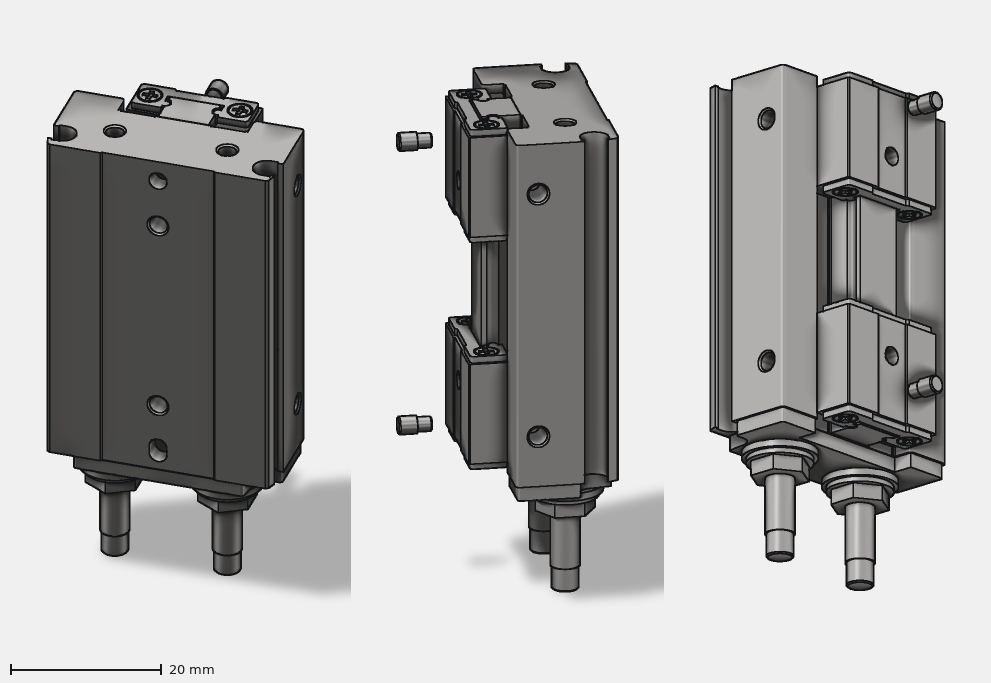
import cadquery as cq
import math


housing_width = 32.0
housing_depth = 14.0
housing_height = 48.0
half_width = housing_width / 2
edge_round = 0.6
slot_half_width = 9.0
slot_floor = 11.1
leg_channel_depth = 0.2
relief_depth = 0.2
relief_half_width = 7.8

groove_diameter = 3.8
groove_radius = groove_diameter / 2
groove_inset = 1.75
groove_y = 3.15
mouth_width = 3.2
lip_thickness = 0.8
lip_tip_inset = 0.2
lip_base_inset = 0.6
lip_base_y = 0.25
front_edge_inset = 1.0

thread_diameter = 2.5
thread_mouth_diameter = 3.0
thread_chamfer = (thread_mouth_diameter - thread_diameter) / 2
thread_depth = 5.2
drill_point_angle = 118.0
side_hole_y = 11.0
side_hole_offset = 7.0
through_hole_offset = 10.0
dowel_offset = 3.0
dowel_diameter = 2.5
dowel_slot_length = 3.45
dowel_depth = 2.6

plate_thickness = 2.0
plate_inset = 0.3
plate_round = 0.45
plate_groove_clearance = 0.1
plate_neck_inset = 4.2

rail_half_width = 3.5
rail_top = 16.4
rail_end_gap = 0.05
ball_y = 14.8
ball_x = 3.7
track_radius = 0.85
ball_radius = 0.65

carriage_half_width = 8.6
carriage_bottom = 11.3
short_leg_bottom = 13.2
carriage_top = 19.0
carriage_edge = 0.2
block_height = 14.0
cap_height = 0.9
carriage_height = block_height + 2 * cap_height
carriage_end_gap = 0.2
opening_half_width = 3.9
opening_roof = 16.65
block_groove_half_width = 2.8
block_groove_depth = 0.2
cap_half_width = 8.15
cap_bottom = 13.65
cap_top = 18.7
cap_round = 0.5
cap_groove_half_width = 3.6
cap_groove_depth = 0.3

screw_x = 6.3
screw_y = 16.2
screw_outer_diameter = 3.4
screw_head_diameter = 3.0
screw_ring_depth = 0.2
cross_length = 1.95
cross_width = 0.6
cross_depth = 0.4

rod_x = 7.85
rod_y = 5.9
collar_diameter, collar_height = 8.0, 0.4
flange_diameter, flange_height = 10.2, 1.0
washer_diameter, washer_height = 9.0, 0.7
hex_across_flats, hex_height = 7.0, 2.1
shank_diameter, shank_height = 4.0, 7.85
tip_diameter = 3.65
tip_chamfer = 0.2
overall_height = 65.3
tip_height = (overall_height - housing_height - plate_thickness - collar_height
              - flange_height - washer_height - hex_height - shank_height)

overall_depth = 27.0
pin_head_diameter, pin_head_length = 2.5, 2.5
pin_shank_diameter, pin_shank_length = 2.0, 2.0
pin_chamfer = 0.2
pin_end_offset = 4.1


def both_ends(offset):
    """Z positions at the same distance from the lower and the upper end of the housing."""
    return (offset, housing_height - offset)


def bar(half_x, y_low, y_high, z_low, z_high):
    """Block centred on X = 0."""
    return cq.Workplane("XY").box(
        2 * half_x, y_high - y_low, z_high - z_low, centered=(True, False, False)
    ).translate((0, y_low, z_low))


def threaded_hole():
    """Hole cutter that starts at the origin and goes down along -Z."""
    radius = thread_diameter / 2
    cone_height = radius / math.tan(math.radians(drill_point_angle / 2))
    return (
        cq.Workplane("XZ")
        .moveTo(0, 0)
        .lineTo(thread_mouth_diameter / 2, 0)
        .lineTo(radius, -thread_chamfer)
        .lineTo(radius, -thread_depth)
        .lineTo(0, -thread_depth - cone_height)
        .close()
        .revolve(360, (0, 0, 0), (0, 1, 0))
    )


def mirrored_pair(shape):
    """The shape together with its mirror image across the X = 0 plane."""
    return shape.union(shape.mirror("YZ"))


def sensor_groove():
    """Groove on the -X side, with a narrow mouth between two lips; the lower lip slopes inward."""
    axis_x = -half_width + groove_inset
    mouth_low = groove_y - mouth_width / 2
    bore = cq.Workplane("XY").center(axis_x, groove_y).circle(groove_radius).extrude(housing_height)
    inner_x = -half_width + lip_thickness
    channel = (
        cq.Workplane("XY")
        .rect(axis_x - inner_x, groove_diameter)
        .extrude(housing_height)
        .translate(((axis_x + inner_x) / 2, groove_y, 0))
    )
    mouth = (
        cq.Workplane("XY")
        .rect(groove_inset, mouth_width)
        .extrude(housing_height)
        .translate((-half_width + groove_inset / 2, groove_y, 0))
    )
    lip_slope = (
        cq.Workplane("XY")
        .moveTo(-half_width, mouth_low)
        .lineTo(-half_width + lip_tip_inset, mouth_low)
        .lineTo(-half_width + lip_base_inset, lip_base_y)
        .lineTo(-half_width + front_edge_inset, 0)
        .lineTo(-half_width, 0)
        .close()
        .extrude(housing_height)
    )
    return bore.union(channel).union(mouth).union(lip_slope)


def housing_profile_body():
    """Extruded housing with the carriage slot, leg channels, front relief and sensor grooves."""
    body = bar(half_width, 0, housing_depth, 0, housing_height)
    body = body.cut(bar(slot_half_width, slot_floor, housing_depth, 0, housing_height))
    body = body.edges("|Z and >Y").fillet(edge_round)
    channels = bar(carriage_half_width, slot_floor - leg_channel_depth, slot_floor, 0, housing_height)
    channels = channels.cut(bar(opening_half_width, 0, slot_floor, 0, housing_height))
    body = body.cut(channels)
    relief = (
        cq.Workplane("XY")
        .polyline([
            (-relief_half_width - relief_depth, 0), (-relief_half_width, relief_depth),
            (relief_half_width, relief_depth), (relief_half_width + relief_depth, 0),
        ])
        .close()
        .extrude(housing_height)
    )
    body = body.cut(relief)
    return body.cut(mirrored_pair(sensor_groove()))


def end_plate():
    """Plate below the housing, set in from its outline and cut away around the sensor grooves."""
    side = half_width - plate_inset
    back = housing_depth - plate_inset
    neck = half_width - plate_neck_inset
    groove_axis = half_width - groove_inset
    cut_radius = groove_radius + plate_groove_clearance
    shoulder = groove_y + cut_radius
    diagonal = cut_radius * math.sqrt(0.5)
    half = (
        cq.Workplane("XY")
        .moveTo(0, plate_inset)
        .lineTo(neck, plate_inset)
        .lineTo(groove_axis - cut_radius, groove_y)
        .threePointArc((groove_axis - diagonal, groove_y + diagonal), (groove_axis, shoulder))
        .lineTo(side, shoulder)
        .lineTo(side, back)
        .lineTo(0, back)
        .close()
        .extrude(-plate_thickness)
    )
    neck_edge = cq.selectors.NearestToPointSelector((neck, plate_inset, -plate_thickness / 2))
    half = half.edges(neck_edge).fillet(plate_round)
    half = half.edges("|Z and >X").fillet(plate_round)
    slot = bar(slot_half_width + plate_inset, slot_floor - plate_inset, housing_depth, -plate_thickness, 0)
    return mirrored_pair(half).cut(slot)


def guide_rail():
    """Rail on the slot floor with a ball track along each side."""
    rail = bar(rail_half_width, slot_floor, rail_top, rail_end_gap, housing_height - rail_end_gap)
    tracks = (
        cq.Workplane("XY")
        .pushPoints([(-ball_x, ball_y), (ball_x, ball_y)])
        .circle(track_radius)
        .extrude(housing_height)
    )
    return rail.cut(tracks)


def through_hole(z):
    """Hole along Y through the housing, the rail and the carriage."""
    return cq.Workplane("XZ").center(0, z).circle(thread_diameter / 2).extrude(-overall_depth)


def housing_holes():
    """Threaded side and top holes, through holes, and the round and slotted dowel holes."""
    cutter = threaded_hole()
    x_axis, y_axis = (1, 0, 0), (0, 1, 0)
    holes = cq.Workplane("XY")
    for x in (-rod_x, rod_x):
        holes = holes.add(cutter.translate((x, rod_y, housing_height)))
    left_cutter = cutter.rotate((0, 0, 0), y_axis, -90)
    right_cutter = cutter.rotate((0, 0, 0), y_axis, 90)
    for z in both_ends(side_hole_offset):
        holes = holes.add(left_cutter.translate((-half_width, side_hole_y, z)))
        holes = holes.add(right_cutter.translate((half_width, side_hole_y, z)))
    for z in both_ends(through_hole_offset):
        mouth = cutter.rotate((0, 0, 0), x_axis, 90).translate((0, relief_depth, z))
        holes = holes.add(mouth).add(through_hole(z))
    dowel_plane = cq.Workplane("XZ", origin=(0, relief_depth, 0))
    low_z, high_z = both_ends(dowel_offset)
    holes = holes.add(dowel_plane.center(0, high_z).circle(dowel_diameter / 2).extrude(-dowel_depth))
    holes = holes.add(
        dowel_plane.center(0, low_z).slot2D(dowel_slot_length, dowel_diameter, 90).extrude(-dowel_depth)
    )
    return holes.combine()


def make_housing():
    return housing_profile_body().union(end_plate()).union(guide_rail(), clean=False).cut(housing_holes())


def back_groove(half_x, top, depth, z_low, z_high):
    """Shallow groove with 45 degree sides in the back face of a carriage."""
    return (
        cq.Workplane("XY", origin=(0, 0, z_low))
        .polyline([
            (-half_x, top), (-half_x + depth, top - depth), (half_x - depth, top - depth), (half_x, top)
        ])
        .close()
        .extrude(z_high - z_low)
    )


def cap_screw():
    """Cutter for a chamfer ring around a screw head and its cross recess, going down from Z = 0."""
    ring = (
        cq.Workplane("XZ")
        .moveTo(screw_head_diameter / 2, 0)
        .lineTo(screw_outer_diameter / 2, 0)
        .lineTo(screw_head_diameter / 2, -screw_ring_depth)
        .close()
        .revolve(360, (0, 0, 0), (0, 1, 0))
    )
    cross = cq.Workplane("XY").rect(cross_length, cross_width).extrude(-cross_depth)
    cross = cross.union(cq.Workplane("XY").rect(cross_width, cross_length).extrude(-cross_depth))
    return ring.union(cross)


def make_carriage(turn):
    """Carriage straddling the rail: a block with an end cap and two screws at either end.

    It is shaped at the upper end of the housing, where its -X leg is shorter than its +X leg,
    and then turned by the given angle about the Y axis through mid-height.
    """
    middle = housing_height / 2
    z_high = housing_height - carriage_end_gap
    z_low = z_high - carriage_height
    block_low = z_low + cap_height
    block_high = z_high - cap_height
    block = bar(carriage_half_width, carriage_bottom, carriage_top, block_low, block_high)
    block = block.edges("|Z and >Y").chamfer(carriage_edge)
    short_leg_gap = bar(carriage_half_width, carriage_bottom, short_leg_bottom, z_low, z_high)
    block = block.cut(short_leg_gap.translate((-carriage_half_width, 0, 0)))
    block = block.cut(
        back_groove(block_groove_half_width, carriage_top, block_groove_depth, block_low, block_high)
    )

    caps = bar(cap_half_width, cap_bottom, cap_top, z_low, z_high).edges("|Z").fillet(cap_round)
    caps = caps.cut(back_groove(cap_groove_half_width, cap_top, cap_groove_depth, z_low, block_low))
    caps = caps.cut(back_groove(cap_groove_half_width, cap_top, cap_groove_depth, block_high, z_high))
    carriage = block.union(caps)

    carriage = carriage.cut(bar(opening_half_width, carriage_bottom, opening_roof, z_low, z_high))
    balls = (
        cq.Workplane("XY", origin=(0, 0, z_low))
        .pushPoints([(-ball_x, ball_y), (ball_x, ball_y)])
        .circle(ball_radius)
        .extrude(carriage_height)
    )
    carriage = carriage.union(balls)

    upper_screw = cap_screw()
    lower_screw = upper_screw.mirror("XY")
    for x in (-screw_x, screw_x):
        carriage = carriage.cut(upper_screw.translate((x, screw_y, z_high)))
        carriage = carriage.cut(lower_screw.translate((x, screw_y, z_low)))
    for z in both_ends(through_hole_offset):
        carriage = carriage.cut(through_hole(z))
    return carriage.rotate((0, 0, middle), (0, 1, middle), turn)


def make_rod(x):
    """Rod end hanging from the end plate: collar, flange, washer, hexagon nut, shank and tip."""
    across_corners = hex_across_flats / math.cos(math.pi / 6)
    rod = cq.Workplane("XY", origin=(x, rod_y, -plate_thickness))
    rod = rod.circle(collar_diameter / 2).extrude(-collar_height)
    rod = rod.faces("<Z").workplane().circle(flange_diameter / 2).extrude(flange_height)
    rod = rod.faces("<Z").workplane().circle(washer_diameter / 2).extrude(washer_height)
    rod = rod.faces("<Z").workplane().transformed(rotate=(0, 0, 90))
    rod = rod.polygon(6, across_corners).extrude(hex_height)
    rod = rod.faces("<Z").workplane().circle(shank_diameter / 2).extrude(shank_height)
    rod = rod.faces("<Z").workplane().circle(tip_diameter / 2).extrude(tip_height)
    return rod.faces("<Z").edges().chamfer(tip_chamfer)


def make_pin(z):
    """Stepped locating pin along Y, standing clear behind the carriage."""
    pin = cq.Workplane("XZ", origin=(0, overall_depth, z))
    pin = pin.circle(pin_head_diameter / 2).extrude(pin_head_length)
    pin = pin.faces("<Y").workplane().circle(pin_shank_diameter / 2).extrude(pin_shank_length)
    return pin.faces("<Y or >Y").edges().chamfer(pin_chamfer)


housing = make_housing()
carriages = [make_carriage(turn).val() for turn in (0, 180)]
rods = [make_rod(x).val() for x in (-rod_x, rod_x)]
pins = [make_pin(z).val() for z in both_ends(pin_end_offset)]

result = cq.Compound.makeCompound([housing.val(), *carriages, *rods, *pins])